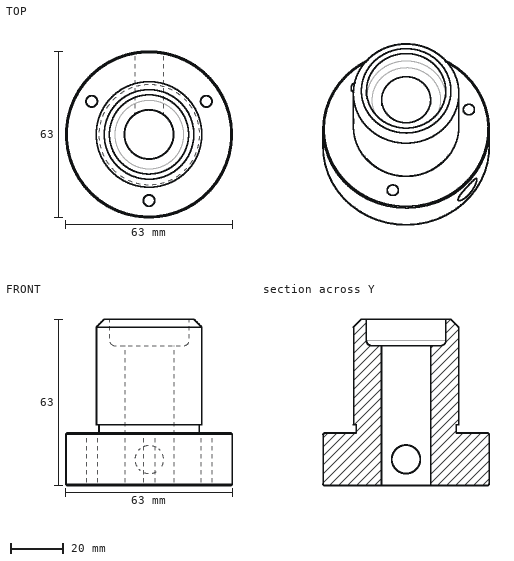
import cadquery as cq

flange_diameter = 63.0
total_height = 63.0
flange_height = 20.0
flange_chamfer = 0.5

spigot_diameter = 39.95
spigot_chamfer = 3.0
groove_diameter = 38.0
groove_height = 3.0

bore_diameter = 18.5
recess_diameter = 30.0
recess_depth = 10.0
recess_fillet = 2.0

bolt_hole_diameter = 4.2
bolt_circle_radius = 25.0
bolt_hole_count = 3
first_bolt_angle = -90.0
side_hole_diameter = 10.7


def cylinder(diameter, height, base_z):
    return cq.Workplane("XY").workplane(offset=base_z).circle(diameter / 2).extrude(height)


def make_body():
    flange = cylinder(flange_diameter, flange_height, 0).edges().chamfer(flange_chamfer)
    groove_core = cylinder(groove_diameter, groove_height, flange_height)
    spigot_base = flange_height + groove_height
    spigot = cylinder(spigot_diameter, total_height - spigot_base, spigot_base)
    spigot = spigot.faces(">Z").edges().chamfer(spigot_chamfer)
    return flange.union(groove_core).union(spigot)


def make_stepped_bore():
    through_bore = cylinder(bore_diameter, total_height, 0)
    recess = cylinder(recess_diameter, recess_depth, total_height - recess_depth)
    recess = recess.faces("<Z").edges().fillet(recess_fillet)
    return through_bore.union(recess)


def make_bolt_holes():
    return (
        cq.Workplane("XY")
        .polarArray(bolt_circle_radius, first_bolt_angle, 360, bolt_hole_count)
        .circle(bolt_hole_diameter / 2)
        .extrude(flange_height)
    )


def make_side_hole():
    return (
        cq.Workplane("XZ")
        .center(0, flange_height / 2)
        .circle(side_hole_diameter / 2)
        .extrude(-flange_diameter / 2)
    )


result = (
    make_body()
    .cut(make_stepped_bore())
    .cut(make_bolt_holes())
    .cut(make_side_hole())
)